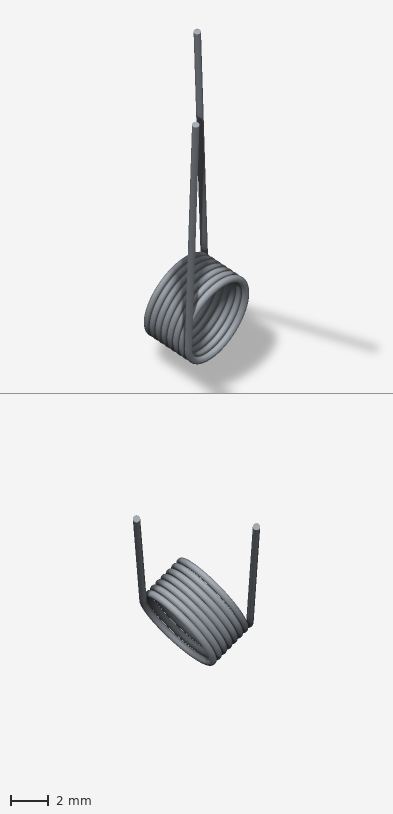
import cadquery as cq
import math

overall_height = 21.7
coil_outer_diameter = 5.27
coil_length = 3.04
turns = 7.5
wire_diameter = 0.4

wire_radius = wire_diameter / 2
mean_radius = coil_outer_diameter / 2 - wire_radius
pitch = coil_length / turns

lean_angle = math.atan(pitch / (2 * math.pi * mean_radius))
tip_rim_height = wire_radius * math.sin(lean_angle)
leg_rise = overall_height - coil_outer_diameter / 2 - tip_rim_height
leg_length = leg_rise / math.cos(lean_angle)


def wire_section(side):
    """Wire cross-section at the coil end on the +X (side 1) or -X (side -1) end."""
    plane = cq.Plane(
        origin=(side * coil_length / 2, -side * mean_radius, 0),
        xDir=(0, 1, 0),
        normal=(side * math.sin(lean_angle), 0, math.cos(lean_angle)),
    )
    return cq.Workplane(plane).circle(wire_radius)


def make_coil():
    """Close-wound body, starting at +Y on the -X end and finishing at -Y on the +X end."""
    coil_plane = cq.Plane.YZ(origin=(-coil_length / 2, 0, 0))
    helix = cq.Wire.makeHelix(pitch, coil_length, mean_radius, lefthand=True)
    path = cq.Workplane(helix.moved(cq.Location(coil_plane)))
    return wire_section(-1).sweep(path, isFrenet=True)


def make_leg(side):
    """Straight leg tangent to one end of the coil."""
    return wire_section(side).extrude(leg_length)


result = make_coil()
for side in (-1, 1):
    result = result.union(make_leg(side))